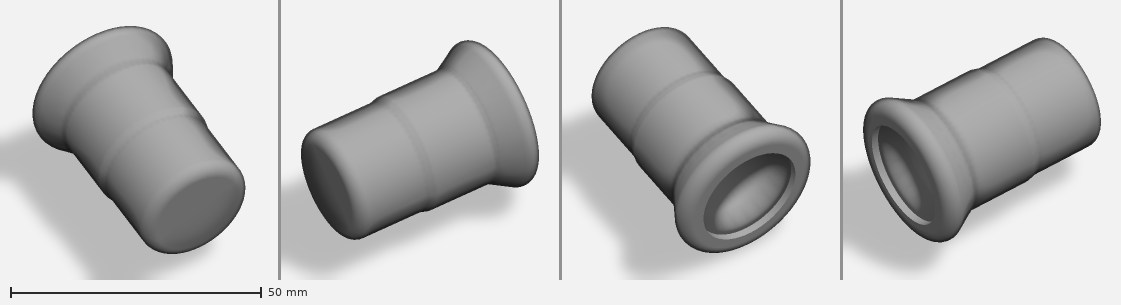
import cadquery as cq
import math

length = 41.0
rim_radius = 31.5 / 2
edge_radius = 2.5
wall = 1.5

rim_center_radius = rim_radius - edge_radius
body_radius = 25.0 / 2
flare_end = 8.9
flare_blend = 1.85

spigot_radius = 24.0 / 2
taper_start = 23.1
taper_end = 24.93
taper_blend = 1.65

socket_radius = body_radius - wall
spigot_bore_radius = spigot_radius - edge_radius
socket_depth = taper_start
end_wall = edge_radius

run = flare_end - edge_radius
drop = rim_center_radius - body_radius
flare_angle = math.asin(edge_radius / math.hypot(run, drop)) + math.atan2(drop, run)


def rim_point(radius, angle):
    """Point on a circle about the rim center, with the angle measured from +X."""
    return (
        edge_radius + radius * math.cos(angle),
        rim_center_radius + radius * math.sin(angle),
    )


def draw_rim_arc(profile, radius):
    """Continue a profile with the rim arc, from facing -X round to the flare tangent."""
    end_angle = math.pi / 2 - flare_angle
    middle_angle = (math.pi + end_angle) / 2
    return profile.threePointArc(rim_point(radius, middle_angle), rim_point(radius, end_angle))


def revolve_about_axis(profile):
    """Close a half profile and turn it about the X axis."""
    return profile.close().revolve(360, (0, 0, 0), (1, 0, 0))


def round_circle(solid, x, radius, blend):
    """Fillet the circular edge of the given radius at x."""
    margin = 0.05
    reach = radius + margin
    edge_box = cq.selectors.BoxSelector(
        (x - margin, -reach, -reach), (x + margin, reach, reach), boundingbox=True
    )
    return solid.edges(edge_box).fillet(blend)


def make_body():
    """Outside shape: rounded rim, flare, body, taper and spigot with a rounded end."""
    profile = cq.Workplane("XY").lineTo(0, rim_center_radius)
    profile = (
        draw_rim_arc(profile, edge_radius)
        .lineTo(flare_end, body_radius)
        .lineTo(taper_start, body_radius)
        .lineTo(taper_end, spigot_radius)
        .lineTo(length, spigot_radius)
        .lineTo(length, 0)
    )
    body = revolve_about_axis(profile)
    body = round_circle(body, flare_end, body_radius, flare_blend)
    body = round_circle(body, taper_start, body_radius, taper_blend)
    body = round_circle(body, taper_end, spigot_radius, taper_blend)
    return round_circle(body, length, spigot_radius, edge_radius)


def make_bore():
    """Inside shape: mouth, rim groove following the flare, socket and blind spigot bore."""
    inner_flare_end = flare_end - wall * math.tan(flare_angle / 2)
    bore_end = length - end_wall
    profile = (
        cq.Workplane("XY")
        .lineTo(0, socket_radius)
        .lineTo(wall, socket_radius)
        .lineTo(wall, rim_center_radius)
    )
    profile = (
        draw_rim_arc(profile, edge_radius - wall)
        .lineTo(inner_flare_end, socket_radius)
        .lineTo(socket_depth, socket_radius)
        .lineTo(socket_depth, spigot_bore_radius)
        .lineTo(bore_end, spigot_bore_radius)
        .lineTo(bore_end, 0)
    )
    bore = revolve_about_axis(profile)
    return round_circle(bore, inner_flare_end, socket_radius, flare_blend + wall)


result = make_body().cut(make_bore())